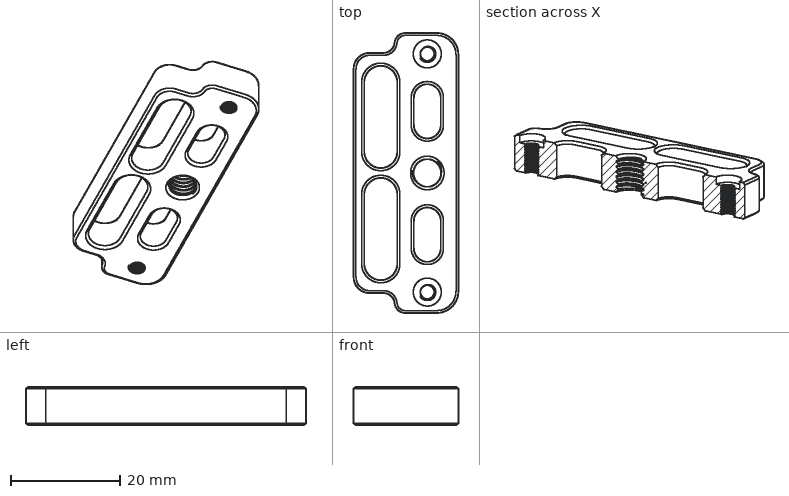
import cadquery as cq
import math

length = 51.2
width = 19.2
thickness = 7.0
edge_chamfer_side = 0.45
edge_chamfer_height = 0.35
right_corner_radius = 4.0
left_corner_radius = 2.95
top_z = thickness / 2
bottom_z = -top_z

shoulder_y = 21.95
shoulder_start_x = -4.1
shoulder_radius = 2.0

mouth_chamfer = 0.5
slot_column_x = -4.6
hole_column_x = 3.9
long_slot_length = 18.65
long_slot_width = 6.0
long_slot_y = 10.25
short_slot_length = 9.9
short_slot_width = 4.85
short_slot_y = 11.25

flank_angle = math.radians(30)
root_width_in_pitches = 1 / 8
groove_overlap = 0.05

center_mouth_diameter = 6.15
center_minor_diameter = 5.0
center_major_diameter = 6.0
center_pitch = 0.95
center_start_angle = 90.0
center_chamfer = (center_mouth_diameter - center_minor_diameter) / 2

screw_y = 21.75
screw_minor_diameter = 2.5
screw_major_diameter = 3.05
screw_pitch = 0.5
screw_start_angle = 0.0
counterbore_diameter = 5.1
counterbore_depth = 1.4


def plate():
    half_length = length / 2
    half_width = width / 2

    climb = half_length - shoulder_y
    turn = math.acos(1 - climb / (2 * shoulder_radius))
    arc_span = shoulder_radius * math.sin(turn)
    middle_x = shoulder_start_x + arc_span
    end_x = middle_x + arc_span
    middle_y = shoulder_y + climb / 2

    upper_half = (
        cq.Workplane("XY", origin=(0, 0, bottom_z))
        .moveTo(-half_width, 0)
        .lineTo(-half_width, shoulder_y - left_corner_radius)
        .tangentArcPoint((-half_width + left_corner_radius, shoulder_y), relative=False)
        .lineTo(shoulder_start_x, shoulder_y)
        .tangentArcPoint((middle_x, middle_y), relative=False)
        .tangentArcPoint((end_x, half_length), relative=False)
        .lineTo(half_width - right_corner_radius, half_length)
        .tangentArcPoint((half_width, half_length - right_corner_radius), relative=False)
        .lineTo(half_width, 0)
        .close()
        .extrude(thickness)
    )
    body = upper_half.union(upper_half.mirror("XZ")).clean()
    return body.faces("|Z").chamfer(edge_chamfer_height, edge_chamfer_side)


def slot(slot_length, slot_width, x, y):
    """Through slot along Y, widened by a chamfer at both mouths."""
    base = cq.Workplane("XY", origin=(x, y, bottom_z))
    cutter = base.slot2D(slot_length, slot_width, 90).extrude(thickness)
    for mouth_z, inward in ((top_z, -1), (bottom_z, 1)):
        mouth = (
            cq.Workplane("XY", origin=(x, y, mouth_z))
            .slot2D(slot_length + 2 * mouth_chamfer, slot_width + 2 * mouth_chamfer, 90)
            .extrude(inward * mouth_chamfer, taper=45)
        )
        cutter = cutter.union(mouth)
    return cutter


def threaded_bore(minor_diameter, major_diameter, pitch, height, start_angle):
    """Bore standing on the origin, with a right-handed 60 degree internal thread over its full height."""
    minor_radius = minor_diameter / 2
    major_radius = major_diameter / 2
    inner_radius = minor_radius - groove_overlap
    root_half_width = pitch * root_width_in_pitches / 2
    inner_half_width = root_half_width + (major_radius - inner_radius) * math.tan(flank_angle)

    start_z = -pitch
    helix = cq.Wire.makeHelix(pitch, height + 2 * pitch, minor_radius)
    path = cq.Workplane(helix).translate((0, 0, start_z))
    groove = (
        cq.Workplane("XZ")
        .moveTo(inner_radius, start_z - inner_half_width)
        .lineTo(major_radius, start_z - root_half_width)
        .lineTo(major_radius, start_z + root_half_width)
        .lineTo(inner_radius, start_z + inner_half_width)
        .close()
        .sweep(path, isFrenet=True)
    )
    trim = cq.Workplane("XY").circle(major_diameter).extrude(height)
    bore = cq.Workplane("XY").circle(minor_radius).extrude(height)
    return bore.union(groove.intersect(trim)).rotate((0, 0, 0), (0, 0, 1), start_angle)


def center_hole():
    """Threaded through hole, countersunk at both mouths down to the start of the thread."""
    thread_height = thickness - 2 * center_chamfer
    cutter = threaded_bore(
        center_minor_diameter, center_major_diameter, center_pitch, thread_height, center_start_angle
    ).translate((hole_column_x, 0, bottom_z + center_chamfer))
    for mouth_z, inward in ((top_z, -1), (bottom_z, 1)):
        mouth = (
            cq.Workplane("XY", origin=(hole_column_x, 0, mouth_z))
            .circle(center_mouth_diameter / 2)
            .extrude(inward * center_chamfer, taper=45)
        )
        cutter = cutter.union(mouth)
    return cutter


def screw_hole():
    """Threaded through hole under a flat counterbore, standing on the origin."""
    thread_height = thickness - counterbore_depth
    thread = threaded_bore(
        screw_minor_diameter, screw_major_diameter, screw_pitch, thread_height, screw_start_angle
    )
    counterbore = (
        cq.Workplane("XY", origin=(0, 0, thread_height))
        .circle(counterbore_diameter / 2)
        .extrude(counterbore_depth)
    )
    return thread.union(counterbore)


result = plate().cut(center_hole())
screw_cutter = screw_hole()
for side in (1, -1):
    result = result.cut(slot(long_slot_length, long_slot_width, slot_column_x, side * long_slot_y))
    result = result.cut(slot(short_slot_length, short_slot_width, hole_column_x, side * short_slot_y))
    result = result.cut(screw_cutter.translate((hole_column_x, side * screw_y, bottom_z)))